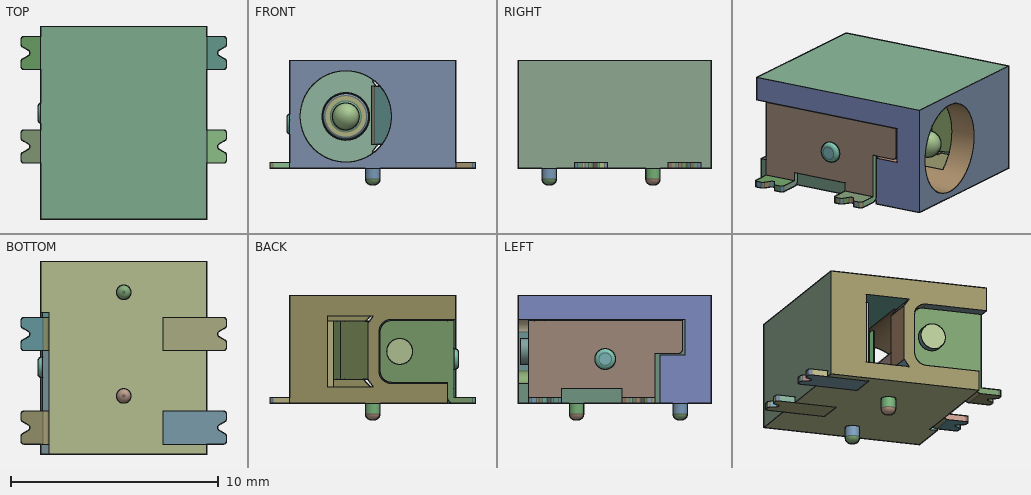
import cadquery as cq
import math


overall_width = 9.9
housing_width = 8.0
housing_depth = 9.3
housing_height = 5.2
left_face = -housing_width / 2

axis_x = -1.3
axis_z = 2.5
bore_diameter = 4.4
bore_depth = 7.5
recess_diameter = 2.3
recess_depth = 0.495
recess_floor_y = bore_depth + recess_depth

peg_diameter = 0.7
peg_length = 0.8
peg_round = 0.3
peg_places_y = [1.49, 6.48]

pin_diameter = 1.3
pin_tip_y = 0.6
pin_root_round = 0.1
collar_diameter = 2.2
collar_length = 0.59
collar_round = 0.1
tail_diameter = 1.25
tail_end_y = 9.18

sheet = 0.3
tab_width = 1.6
tab_round = 0.15
tab_notch_depth = 0.43
tab_notch_half_angle = 30.0
tab_end_x = overall_width / 2
front_tab_y = 3.5
rear_tab_y = 8.01

plate_inset = 0.1
plate_x = left_face + plate_inset
pocket_floor_x = plate_x + sheet
plate_rear_y = rear_tab_y + tab_width / 2
plate_low_front_y = front_tab_y - tab_width / 2
plate_high_front_y = 1.39
plate_step_z = 2.4
plate_corner_round = 0.22
plate_window_height = 0.71
plate_bend_radius = 0.28
leg_half_height = 1.485
leg_end_x = -0.36
leg_bend_radius = 0.49
leg_front_y = plate_rear_y - sheet

pocket_high_front_y = 1.28
pocket_low_front_y = 2.475
pocket_step_z = 2.33
channel_clearance = 0.06
channel_half_height = leg_half_height + channel_clearance
channel_end_x = leg_end_x + channel_clearance
channel_corner_round = 0.6

stud_diameter = 1.0
stud_y = 5.11
stud_z = 2.14
stud_height = 0.24
stud_round = 0.2

slot_front_y = 1.28
slot_half_height = 1.7
slot_right_x = 2.18
slot_edge_x = axis_x + 1.28
slot_middle_x = axis_x + 1.53
slot_middle_half_height = 1.36

blade_bottom_z = 1.16
blade_top_z = 3.96
blade_x = slot_right_x - sheet
spring_sheet = 0.2
spring_front_y = 1.31
spring_front_x = 1.73
spring_kink_x = 1.37
spring_kink_y = 2.7
spring_slope_run = 1.28
spring_tip_radius = 0.48


def box(x0, x1, y0, y1, z0, z1):
    """Block between the given limits."""
    return cq.Workplane("XY").box(x1 - x0, y1 - y0, z1 - z0, centered=False).translate((x0, y0, z0))


def rod_along_y(diameter, y0, y1):
    """Cylinder on the socket axis."""
    front = cq.Workplane("XZ", origin=(axis_x, y0, axis_z))
    return front.circle(diameter / 2).extrude(y0 - y1)


def solder_tab(root_x, y_centre):
    """Flat tab pointing to +X, with rounded corners and a rounded V notch in its end."""
    half_angle = math.radians(tab_notch_half_angle)
    apex_depth = tab_notch_depth - tab_round + tab_round / math.sin(half_angle)
    mouth = apex_depth * math.tan(half_angle)
    half_width = tab_width / 2
    outline = [
        (root_x, -half_width),
        (tab_end_x, -half_width),
        (tab_end_x, -mouth),
        (tab_end_x - apex_depth, 0),
        (tab_end_x, mouth),
        (tab_end_x, half_width),
        (root_x, half_width),
    ]
    tab = cq.Workplane("XY").polyline(outline).close().extrude(sheet)
    tab = tab.edges("|Z").edges(cq.selectors.BoxSelector(
        (tab_end_x - apex_depth - tab_round, -tab_width, -sheet),
        (tab_end_x + tab_round, tab_width, 2 * sheet),
    )).fillet(tab_round)
    return tab.translate((0, y_centre, 0))


def inner_bend(half_height):
    """Wedge that rounds the inside of the bend between the side plate and its rear leg."""
    chord = leg_bend_radius * (1 - math.sqrt(0.5))
    return (
        cq.Workplane("XY", origin=(pocket_floor_x, leg_front_y, axis_z - half_height))
        .lineTo(leg_bend_radius, 0)
        .threePointArc((chord, -chord), (0, -leg_bend_radius))
        .close()
        .extrude(2 * half_height)
    )


def rounded_leg(x0, x1, y0, y1, half_height, corner_round):
    """Upright slab centred on the pin, with its two far corners rounded."""
    slab = box(x0, x1, y0, y1, axis_z - half_height, axis_z + half_height)
    return slab.faces(">X").edges("|Y").fillet(corner_round)


def pin_contact_pocket():
    """Opening in the left and rear faces that takes the pin contact."""
    side = (
        cq.Workplane("YZ", origin=(left_face, 0, 0))
        .polyline([
            (pocket_low_front_y, 0),
            (housing_depth, 0),
            (housing_depth, axis_z + channel_half_height),
            (pocket_high_front_y, axis_z + channel_half_height),
            (pocket_high_front_y, pocket_step_z),
            (pocket_low_front_y, pocket_step_z),
        ])
        .close()
        .extrude(pocket_floor_x - left_face)
    )
    channel = rounded_leg(
        left_face, channel_end_x, leg_front_y, housing_depth, channel_half_height, channel_corner_round
    )
    return side.union(channel).union(inner_bend(channel_half_height))


def contact_slot():
    """Slot beside the bore for the right-hand contacts, open at the rear."""
    section = [
        (slot_right_x, axis_z - slot_half_height),
        (slot_right_x, axis_z + slot_half_height),
        (slot_edge_x, axis_z + slot_half_height),
        (slot_middle_x, axis_z + slot_middle_half_height),
        (slot_middle_x, axis_z - slot_middle_half_height),
        (slot_edge_x, axis_z - slot_half_height),
    ]
    front = cq.Workplane("XZ", origin=(0, slot_front_y, 0))
    return front.polyline(section).close().extrude(slot_front_y - housing_depth)


def tab_foot(y_centre):
    """Upright and flat foot of a right-hand contact, from the slot out to its solder tab."""
    y0 = y_centre - tab_width / 2
    y1 = y_centre + tab_width / 2
    upright = box(blade_x, slot_right_x, y0, y1, 0, blade_top_z)
    return upright.union(solder_tab(blade_x, y_centre))


def stud():
    """Round stud that passes through the pin contact and stands out from it."""
    length = sheet + stud_height
    base = cq.Workplane("YZ", origin=(pocket_floor_x, stud_y, stud_z))
    return base.circle(stud_diameter / 2).extrude(-length).faces("<X").edges().fillet(stud_round)


def peg(y_centre):
    """Locating peg with a rounded end."""
    base = cq.Workplane("XY").center(0, y_centre).circle(peg_diameter / 2)
    return base.extrude(-peg_length).faces("<Z").edges().fillet(peg_round)


def make_housing():
    body = box(left_face, -left_face, 0, housing_depth, 0, housing_height)
    body = body.cut(rod_along_y(bore_diameter, 0, bore_depth))
    body = body.cut(rod_along_y(recess_diameter, bore_depth, recess_floor_y))
    body = body.cut(rod_along_y(tail_diameter, recess_floor_y, housing_depth))
    body = body.cut(contact_slot())
    body = body.cut(pin_contact_pocket())
    for y_centre in (front_tab_y, rear_tab_y):
        body = body.cut(tab_foot(y_centre))
    for y_centre in peg_places_y:
        body = body.union(peg(y_centre))
    return body.union(stud())


def make_pin():
    collar_front_y = recess_floor_y - collar_length
    radius = pin_diameter / 2
    root = radius + pin_root_round
    rim = collar_diameter / 2
    slant = math.sqrt(0.5)
    profile = (
        cq.Workplane("XY")
        .moveTo(0, pin_tip_y)
        .threePointArc((radius * slant, pin_tip_y + radius * (1 - slant)), (radius, pin_tip_y + radius))
        .lineTo(radius, collar_front_y - pin_root_round)
        .threePointArc(
            (root - pin_root_round * slant, collar_front_y - pin_root_round * (1 - slant)),
            (root, collar_front_y),
        )
        .lineTo(rim - collar_round, collar_front_y)
        .threePointArc(
            (rim - collar_round * (1 - slant), collar_front_y + collar_round * (1 - slant)),
            (rim, collar_front_y + collar_round),
        )
        .lineTo(rim, recess_floor_y)
        .lineTo(tail_diameter / 2, recess_floor_y)
        .lineTo(tail_diameter / 2, tail_end_y)
        .lineTo(0, tail_end_y)
        .close()
    )
    return profile.revolve(360, (0, 0, 0), (0, 1, 0)).translate((axis_x, 0, axis_z))


def make_pin_contact():
    plate_top_z = axis_z + leg_half_height
    window_front_y = front_tab_y + tab_width / 2
    window_rear_y = rear_tab_y - tab_width / 2
    plate = (
        cq.Workplane("YZ", origin=(plate_x, 0, 0))
        .polyline([
            (plate_low_front_y, 0),
            (window_front_y, 0),
            (window_front_y, plate_window_height),
            (window_rear_y, plate_window_height),
            (window_rear_y, 0),
            (plate_rear_y, 0),
            (plate_rear_y, plate_top_z),
            (plate_high_front_y, plate_top_z),
            (plate_high_front_y, plate_step_z),
            (plate_low_front_y, plate_step_z),
        ])
        .close()
        .extrude(sheet)
    )
    plate = plate.edges("|X").edges("<Y").edges("<Z").fillet(plate_corner_round)
    plate = plate.faces("<Z").edges(">X").fillet(plate_bend_radius)
    for y_centre in (front_tab_y, rear_tab_y):
        tab = solder_tab(-plate_x, y_centre).mirror("YZ")
        plate = plate.union(tab)
    leg = rounded_leg(
        plate_x, leg_end_x, leg_front_y, plate_rear_y, leg_half_height, channel_corner_round - channel_clearance
    )
    plate = plate.union(leg).union(inner_bend(leg_half_height))
    plate = plate.cut(rod_along_y(tail_diameter, recess_floor_y, housing_depth))
    return plate.cut(stud())


def make_sleeve_spring():
    slant = math.sqrt(0.5)
    tip_x = spring_kink_x - spring_slope_run
    tip_y = spring_kink_y + spring_slope_run
    bend_x = tip_x + spring_tip_radius * slant
    bend_y = tip_y + spring_tip_radius * slant
    inner_radius = spring_tip_radius - spring_sheet
    inner_offset = inner_radius * slant
    back_kink_x = spring_kink_x + spring_sheet
    back_kink_y = bend_y - inner_offset - (back_kink_x - (bend_x - inner_offset))
    leaf = (
        cq.Workplane("XY", origin=(0, 0, blade_bottom_z))
        .moveTo(spring_front_x, spring_front_y)
        .lineTo(spring_kink_x, spring_kink_y)
        .lineTo(tip_x, tip_y)
        .threePointArc((bend_x - spring_tip_radius, bend_y), (tip_x, bend_y + spring_tip_radius * slant))
        .lineTo(bend_x - inner_offset, bend_y + inner_offset)
        .threePointArc((bend_x - inner_radius, bend_y), (bend_x - inner_offset, bend_y - inner_offset))
        .lineTo(back_kink_x, back_kink_y)
        .lineTo(spring_front_x + spring_sheet, spring_front_y)
        .close()
        .extrude(blade_top_z - blade_bottom_z)
    )
    blade = box(blade_x, slot_right_x, spring_front_y, front_tab_y, blade_bottom_z, blade_top_z)
    return tab_foot(front_tab_y).union(blade).union(leaf)


def make_switch_contact():
    return tab_foot(rear_tab_y)


housing = make_housing()
pin = make_pin()
pin_contact = make_pin_contact()
sleeve_spring = make_sleeve_spring()
switch_contact = make_switch_contact()

result = cq.Compound.makeCompound([
    housing.val(),
    pin.val(),
    pin_contact.val(),
    sleeve_spring.val(),
    switch_contact.val(),
])